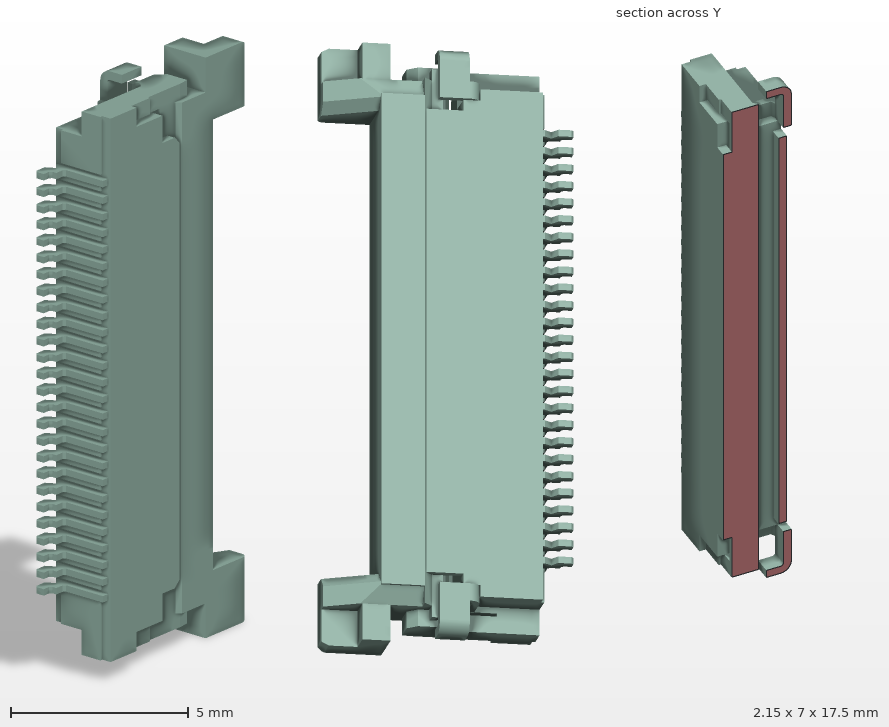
import cadquery as cq


width = 2.15
depth = 7.0
length = 17.5
x_front = -width / 2
x_back = width / 2
y_latch = depth / 2
y_tail = -depth / 2
z_end = length / 2

x_cover = -0.93
cover_wall = 0.26
x_core = x_cover + cover_wall
x_ledge = 0.09
y_base = -2.62
y_core = -0.35
y_cover = 0.7
y_shoulder = -0.84
z_cover = 6.79
z_neck = 7.1
z_core = 7.44
z_slit_in = 7.61
z_slit_out = 7.7
y_slit = -1.49
z_arm = 8.19
x_arm_front = -0.23
x_arm_back = 0.8
x_arm_back_low = 0.88
y_arm_top = 1.1
y_arm_step = -0.66
y_arm_bottom = 0.04
arm_top_chamfer = 0.28
arm_bottom_chamfer = 0.15
arm_taper = 0.04
y_back_wall = 0.4
back_wall = 0.28
back_wall_chamfer = 0.21

contact_count = 26
contact_row = 12.51
pitch = contact_row / (contact_count - 1)
contact_thickness = 0.2
slot_width = 0.38
rib_height = 0.09
x_rib_back = 0.77
x_contact_back = 0.98
y_contact = -2.85
x_contact_front = -0.88
contact_lip = 0.07
x_neck_front = -0.7
y_neck = -2.9
x_neck_back = -0.44
y_elbow = -3.2
x_tail_back = -0.65
x_tail_front = -0.98
y_tail_shoulder = -3.06
tail_chamfer = 0.07

x_latch_back = 0.98
x_latch_side = -0.55
x_latch_bevel = -0.82
x_latch_tip = -0.04
y_latch_bar = 2.0
y_latch_front = 0.75
y_latch_bottom = 0.5
z_latch = z_slit_out
z_latch_front = 7.2
ear_bevel_width = 0.35
ear_bevel_height = 0.32
latch_chamfer = 0.12

x_grip_tip = 0.25
y_grip_step = 2.47
y_grip_bottom = 1.66
grip_chamfer_depth = 0.21
grip_chamfer_height = 0.1

x_pivot = -0.33
y_pivot = 0.2
pivot_chamfer = 0.15
z_pivot = 8.03

hook_thickness = 0.26
hook_radius = 0.35
y_hook_top = 0.35
y_hook_bottom = -0.5
z_hook = 8.55
x_hook_tip = -0.28
web_thickness = 0.21
x_web_tip = 0.07


def box(x0, x1, y0, y1, z0, z1):
    """Box between pairs of opposite faces."""
    return cq.Workplane("XY").box(x1 - x0, y1 - y0, z1 - z0, centered=False).translate((x0, y0, z0))


def bar(points, z0, z1):
    """XY outline extruded from z0 to z1."""
    return cq.Workplane("XY").workplane(offset=z0).polyline(points).close().extrude(z1 - z0)


def both_ends(solid):
    """The solid together with its mirror image at the other end."""
    return solid.union(solid.mirror("XY"))


def make_core():
    """Central housing with its cover wall in front and its low back wall behind."""
    cover = box(x_cover, x_core, y_core, y_cover, -z_cover, z_cover)
    neck = box(x_cover, x_ledge, y_shoulder, y_core, -z_neck, z_neck)
    body = box(x_cover, x_ledge, y_base, y_shoulder, -z_core, z_core)
    rear = box(x_ledge, x_back, y_base, y_core, -z_slit_in, z_slit_in)
    back = box(x_back - back_wall, x_back, y_core, y_back_wall, -z_cover, z_cover)
    back = back.faces(">Y").edges("|X").chamfer(back_wall_chamfer)
    return cover.union(neck).union(body).union(rear).union(back)


def make_arm():
    """End ledge that runs up along the latch bar, split from the core by a slit."""
    outline = [
        (x_arm_front + arm_top_chamfer, y_arm_top),
        (x_arm_back - arm_taper, y_arm_top),
        (x_arm_back, y_latch_front),
        (x_arm_back, y_arm_step),
        (x_arm_back_low, y_arm_step),
        (x_arm_back_low, y_slit),
        (x_back, y_slit),
        (x_back, y_base),
        (x_ledge, y_base),
        (x_ledge, y_arm_bottom - arm_bottom_chamfer),
        (x_ledge - arm_bottom_chamfer, y_arm_bottom),
        (x_arm_front, y_arm_bottom),
        (x_arm_front, y_arm_top - arm_top_chamfer),
    ]
    arm = bar(outline, z_slit_out, z_arm)
    root = box(x_ledge, x_back, y_base, y_slit, z_slit_in, z_slit_out)
    return arm.union(root)


def make_crosspiece():
    """Beam that joins the two arms under the latch bar."""
    outline = [
        (x_arm_front, y_latch_front),
        (x_arm_back, y_latch_front),
        (x_arm_back, y_arm_bottom - arm_bottom_chamfer),
        (x_ledge, y_arm_bottom - arm_bottom_chamfer),
        (x_ledge - arm_bottom_chamfer, y_arm_bottom),
        (x_arm_front, y_arm_bottom),
    ]
    return bar(outline, -z_slit_out, z_slit_out)


def make_ribs():
    """Raised pad on the base face, cut by one slot for each contact."""
    y_rib = y_base - rib_height
    pad = box(x_core, x_rib_back, y_rib, y_base, -z_core, z_core)
    end_pad = box(x_ledge, x_rib_back, y_rib, y_base, z_core, z_arm)
    pad = pad.union(both_ends(end_pad))
    for z in contact_levels:
        pad = pad.cut(box(x_core, x_rib_back, y_rib, y_base, z - slot_width / 2, z + slot_width / 2))
    return pad


def make_contact(z):
    """Flat stamped contact: a bar along the base face and a stepped solder tail."""
    outline = [
        (x_contact_back, y_base),
        (x_contact_back, y_contact),
        (x_neck_back + tail_chamfer, y_contact),
        (x_neck_back, y_contact - tail_chamfer),
        (x_neck_back, y_elbow),
        (x_tail_back + tail_chamfer, y_elbow),
        (x_tail_back, y_elbow - tail_chamfer),
        (x_tail_back, y_tail),
        (x_tail_front + tail_chamfer, y_tail),
        (x_tail_front, y_tail + tail_chamfer),
        (x_tail_front, y_tail_shoulder),
        (x_neck_front, y_neck),
        (x_contact_front, y_base - contact_lip),
        (x_contact_front, y_base),
    ]
    return bar(outline, z - contact_thickness / 2, z + contact_thickness / 2)


def make_latch_bar():
    """Bar with bevelled ends and a sloping ear beyond each end of its middle part."""
    outline = [
        (x_latch_tip, y_latch),
        (x_latch_back - latch_chamfer, y_latch),
        (x_latch_back, y_latch - latch_chamfer),
        (x_latch_back, y_latch_bottom + latch_chamfer),
        (x_latch_back - latch_chamfer, y_latch_bottom),
        (x_core, y_latch_bottom),
        (x_cover, y_latch_front),
        (x_cover, y_latch_bar),
        (x_latch_bevel, y_latch_bar),
    ]
    latch = bar(outline, -z_latch, z_latch)
    latch = latch.cut(box(x_front, x_back, y_latch_bar, y_latch, -z_cover, z_cover))

    end_waste = (
        cq.Workplane("XZ", origin=(0, y_latch, 0))
        .polyline([
            (x_latch_side, z_latch),
            (x_latch_bevel, z_latch_front),
            (x_front, z_latch_front),
            (x_front, z_latch),
        ])
        .close()
        .extrude(y_latch - y_latch_front)
    )
    latch = latch.cut(both_ends(end_waste))

    ear_waste = (
        cq.Workplane("XZ", origin=(x_latch_bevel, y_latch_bar, 0))
        .polyline([(0, z_cover), (ear_bevel_width, z_cover), (0, z_cover + ear_bevel_height)])
        .close()
        .sweep(cq.Workplane("XY").moveTo(x_latch_bevel, y_latch_bar).lineTo(x_latch_tip, y_latch))
    )
    return latch.cut(both_ends(ear_waste))


def make_grip():
    """L-shaped block on the outer end of a latch ear."""
    outline = [
        (x_grip_tip, y_latch),
        (x_latch_back - latch_chamfer, y_latch),
        (x_latch_back, y_latch - latch_chamfer),
        (x_latch_back, y_grip_bottom),
        (x_latch_side, y_grip_bottom),
        (x_latch_side, y_grip_step),
        (x_grip_tip, y_grip_step),
    ]
    grip = bar(outline, z_latch, z_end)
    corner = (
        cq.Workplane("YZ", origin=(x_front, 0, 0))
        .polyline([
            (y_latch, z_end - grip_chamfer_height),
            (y_latch, z_end),
            (y_latch - grip_chamfer_depth, z_end),
        ])
        .close()
        .extrude(width)
    )
    return grip.cut(corner)


def make_pivots():
    """Pins that stick out beyond the ends of the latch bar, along its lower edge."""
    outline = [
        (x_core, y_latch_bottom),
        (x_pivot, y_latch_bottom),
        (x_pivot, y_pivot + pivot_chamfer),
        (x_pivot - pivot_chamfer, y_pivot),
        (x_core, y_pivot),
    ]
    return bar(outline, -z_pivot, z_pivot)


def make_hook():
    """Bent strip: a foot along X at the end, a leg along Z, and a web turned into the housing."""
    inner_radius = hook_radius - hook_thickness
    x_bend = x_front + hook_radius
    leg = (
        cq.Workplane("XZ", origin=(0, y_hook_top, 0))
        .moveTo(x_front, z_neck)
        .lineTo(x_front, z_hook - hook_radius)
        .radiusArc((x_bend, z_hook), hook_radius)
        .lineTo(x_hook_tip, z_hook)
        .lineTo(x_hook_tip, z_hook - hook_thickness)
        .lineTo(x_bend, z_hook - hook_thickness)
        .radiusArc((x_front + hook_thickness, z_hook - hook_radius), -inner_radius)
        .lineTo(x_front + hook_thickness, z_neck)
        .close()
        .extrude(y_hook_top - y_hook_bottom)
    )
    y_web = y_shoulder + web_thickness
    bend_radius = y_hook_bottom - y_shoulder
    web = (
        cq.Workplane("XY", origin=(0, 0, z_neck))
        .moveTo(x_front, y_hook_bottom)
        .radiusArc((x_front + bend_radius, y_shoulder), -bend_radius)
        .lineTo(x_web_tip, y_shoulder)
        .lineTo(x_web_tip, y_web)
        .lineTo(x_front + bend_radius, y_web)
        .lineTo(x_front + hook_thickness, y_hook_bottom)
        .close()
        .extrude(z_slit_in - z_neck)
    )
    return leg.union(web)


contact_levels = [(i - (contact_count - 1) / 2) * pitch for i in range(contact_count)]

result = make_core().union(make_crosspiece()).union(make_ribs())
result = result.union(make_latch_bar()).union(make_pivots())
for end_part in (make_arm(), make_grip(), make_hook()):
    result = result.union(both_ends(end_part))
for level in contact_levels:
    result = result.union(make_contact(level))